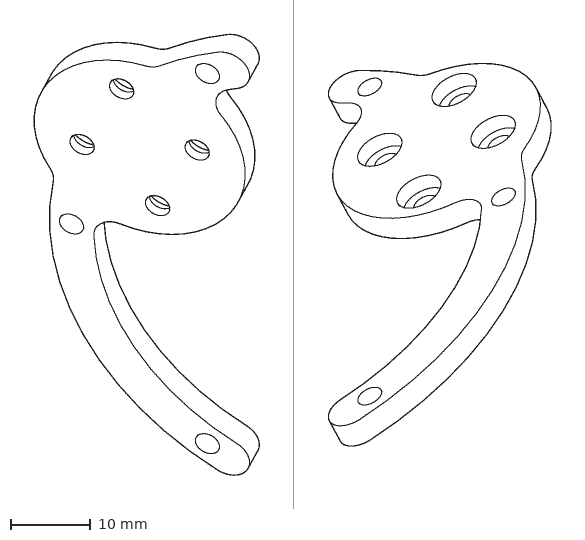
import cadquery as cq
import math

length = 72.0
thickness = 3.5
hole_diameter = 3.25

arm_width = 6.0
arm_radius = 36.5
arm_centre = (27.1, 0.0)
arm_hole_angles = (120, 180, 240)
tip_radius = arm_width / 2
tip_angle = 180 - math.degrees(math.asin((length / 2 - tip_radius) / arm_radius))

disc_radius = 14.2
disc_centre = (-0.3, 16.05)
near_hole_radius = 8.0
far_hole_radius = 9.5
cross_angle = 14.7

counterbore_diameter = 6.05
counterbore_depth = 2.15

blend_radius = 3.0


def polar(centre, radius, angle):
    """Point at an angle in degrees around a centre."""
    turn = math.radians(angle)
    return (centre[0] + radius * math.cos(turn), centre[1] + radius * math.sin(turn))


def circle_crossings(centre_a, radius_a, centre_b, radius_b):
    """The two points where two circles cross."""
    dx = centre_b[0] - centre_a[0]
    dz = centre_b[1] - centre_a[1]
    distance = math.hypot(dx, dz)
    along = (distance**2 + radius_a**2 - radius_b**2) / (2 * distance)
    direction = math.degrees(math.atan2(dz, dx))
    spread = math.degrees(math.acos(along / radius_a))
    return [polar(centre_a, radius_a, direction + side * spread) for side in (-1, 1)]


def front_plane():
    """Sketch plane on the +Y face, extruding toward -Y."""
    return cq.Workplane("XZ", origin=(0, thickness / 2, 0))


def make_arm():
    outer = arm_radius + tip_radius
    inner = arm_radius - tip_radius
    upper = tip_angle
    lower = 360 - tip_angle
    upper_tip = polar(polar(arm_centre, arm_radius, upper), tip_radius, upper - 90)
    lower_tip = polar(polar(arm_centre, arm_radius, lower), tip_radius, lower + 90)
    return (
        front_plane()
        .moveTo(*polar(arm_centre, outer, upper))
        .threePointArc(polar(arm_centre, outer, 180), polar(arm_centre, outer, lower))
        .threePointArc(lower_tip, polar(arm_centre, inner, lower))
        .threePointArc(polar(arm_centre, inner, 180), polar(arm_centre, inner, upper))
        .threePointArc(upper_tip, polar(arm_centre, outer, upper))
        .close()
        .extrude(thickness)
    )


def make_disc():
    return front_plane().center(*disc_centre).circle(disc_radius).extrude(thickness)


def blend_disc_into_arm(body):
    for side in (-1, 1):
        side_radius = arm_radius + side * tip_radius
        for x, z in circle_crossings(disc_centre, disc_radius, arm_centre, side_radius):
            corner = cq.selectors.NearestToPointSelector((x, 0, z))
            body = body.edges("|Y").edges(corner).fillet(blend_radius)
    return body


def make_pins(places, diameter, depth):
    """Cylinders reaching from the +Y face into the plate."""
    return front_plane().pushPoints(places).circle(diameter / 2).extrude(depth)


arm_holes = [polar(arm_centre, arm_radius, angle) for angle in arm_hole_angles]
disc_holes = [
    polar(disc_centre, radius, angle + half_turn)
    for radius, angle in ((near_hole_radius, cross_angle), (far_hole_radius, cross_angle + 90))
    for half_turn in (0, 180)
]

plate = blend_disc_into_arm(make_arm().union(make_disc()))
plate = plate.cut(make_pins(arm_holes + disc_holes, hole_diameter, thickness))
result = plate.cut(make_pins(disc_holes, counterbore_diameter, counterbore_depth))